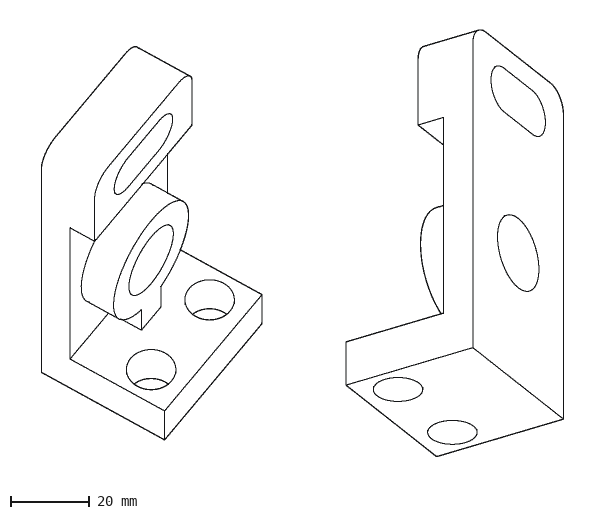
import cadquery as cq

height = 94.45
depth = 37.8
width = 44.1

plate_thickness = 8.8
foot_height = 12.6
head_thickness = 16.3
head_bottom = 69.2
corner_radius = 6.3

boss_center_z = 37.8
boss_diameter = 34.0
boss_face_x = 18.7
bore_diameter = 20.1
rib_width = plate_thickness

slot_length = 26.4
slot_width = 2 * corner_radius
slot_center_z = height - 2 * corner_radius

foot_hole_diameter = 12.6
foot_hole_spacing = 26.4
foot_hole_x = 27.7


def side_profile_body():
    """Plate, foot and head as one profile, extruded across the width."""
    profile = (
        cq.Workplane("XZ")
        .moveTo(0, 0)
        .lineTo(depth, 0)
        .lineTo(depth, foot_height)
        .lineTo(plate_thickness, foot_height)
        .lineTo(plate_thickness, head_bottom)
        .lineTo(head_thickness, head_bottom)
        .lineTo(head_thickness, height)
        .lineTo(0, height)
        .close()
    )
    body = profile.extrude(width / 2, both=True)
    return body.faces(">Z").edges("|X").fillet(corner_radius)


def boss_and_rib():
    """Round boss on the plate, carried on the foot by a central rib."""
    boss = (
        cq.Workplane("YZ")
        .center(0, boss_center_z)
        .circle(boss_diameter / 2)
        .extrude(boss_face_x)
    )
    rib = cq.Workplane("XY").box(
        boss_face_x, rib_width, boss_center_z, centered=(False, True, False)
    )
    return boss.union(rib)


bore = (
    cq.Workplane("YZ")
    .center(0, boss_center_z)
    .circle(bore_diameter / 2)
    .extrude(boss_face_x)
)

slot = (
    cq.Workplane("YZ")
    .center(0, slot_center_z)
    .slot2D(slot_length, slot_width)
    .extrude(head_thickness)
)

foot_holes = (
    cq.Workplane("XY")
    .pushPoints([(foot_hole_x, side * foot_hole_spacing / 2) for side in (-1, 1)])
    .circle(foot_hole_diameter / 2)
    .extrude(foot_height)
)

result = side_profile_body().union(boss_and_rib()).cut(bore).cut(slot).cut(foot_holes)